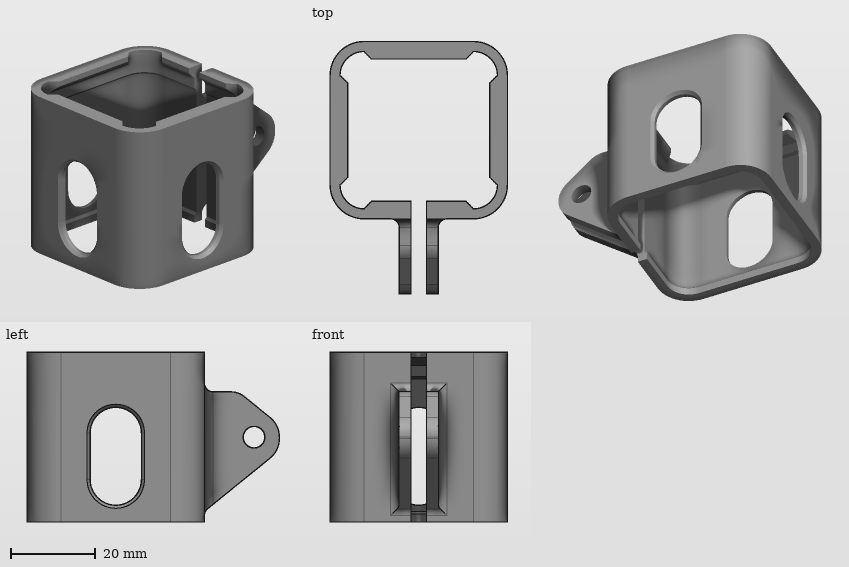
import cadquery as cq
import math

outer_size = 41.8
height = 40.0
corner_radius = 8.0
wall = 2.4

groove_depth = 0.6
groove_bottom_z = 1.9
groove_top_z = 34.3

lip_overhang = 1.8
lip_land = 1.3

window_width = 12.0
window_height = 23.0
window_center_z = 15.5
window_chamfer = 0.75

slit_width = 3.6
ear_thickness = 2.8
ear_reach = 17.65
ear_top_z = 30.7
ear_slope = math.radians(39.0)
ear_tip_radius = 6.0
ear_tip_flat = 0.3
ear_shoulder_radius = 5.0
ear_root_fillet = 2.0
pin_z = 20.0
pin_hole_left = 5.0
pin_hole_right = 5.15

half_size = outer_size / 2
half_slit = slit_width / 2
ear_outer_x = half_slit + ear_thickness


def rounded_prism(inset, bottom_z, top_z):
    """Vertical prism whose sides lie `inset` inside the sleeve's outer faces."""
    side = outer_size - 2 * inset
    return (
        cq.Workplane("XY")
        .workplane(offset=bottom_z)
        .rect(side, side)
        .extrude(top_z - bottom_z)
        .edges("|Z")
        .fillet(corner_radius - inset)
    )


def make_sleeve():
    bore = rounded_prism(wall, 0, height)
    groove = (
        rounded_prism(wall - groove_depth, groove_bottom_z, groove_top_z)
        .faces("<Z or >Z")
        .chamfer(groove_depth)
    )
    return rounded_prism(0, 0, height).cut(bore).cut(groove)


def make_back_lip():
    """Lip on the back wall: 45 degree underside and 45 degree mitred ends."""
    root_y = half_size - wall
    face_y = root_y - lip_overhang
    root_half = half_size - corner_radius
    face_half = root_half - lip_overhang
    sunk_y = root_y + wall / 2
    lip_face_bottom_z = height - lip_land
    lip_root_bottom_z = lip_face_bottom_z - lip_overhang
    plan = (
        cq.Workplane("XY")
        .polyline([
            (-root_half, sunk_y),
            (-root_half, root_y),
            (-face_half, face_y),
            (face_half, face_y),
            (root_half, root_y),
            (root_half, sunk_y),
        ])
        .close()
        .extrude(height)
    )
    section = (
        cq.Workplane("YZ")
        .polyline([
            (sunk_y, height),
            (face_y, height),
            (face_y, lip_face_bottom_z),
            (root_y, lip_root_bottom_z),
            (sunk_y, lip_root_bottom_z),
        ])
        .close()
        .extrude(root_half, both=True)
    )
    return plan.intersect(section)


def make_back_window():
    """Cutter for the back window, flared by a chamfer at the outer face."""
    opening = (
        cq.Workplane("XZ", origin=(0, half_size, window_center_z))
        .slot2D(window_height, window_width, 90)
        .extrude(half_size / 2)
    )
    flare = (
        cq.Workplane("XZ", origin=(0, half_size, window_center_z))
        .slot2D(window_height + 2 * window_chamfer, window_width + 2 * window_chamfer, 90)
        .extrude(window_chamfer, taper=45)
    )
    return opening.union(flare)


def make_ear_plate():
    """Solid plate spanning both ears, with its root sunk into the front wall."""
    sin_slope = math.sin(ear_slope)
    cos_slope = math.cos(ear_slope)
    tan_slope = math.tan(ear_slope)
    wall_y = -half_size
    tip_y = wall_y - ear_reach
    tip_center_y = tip_y + ear_tip_radius
    upper_center_z = pin_z
    lower_center_z = pin_z - ear_tip_flat

    def on_arc(center_y, center_z, radius, angle):
        """Point on an arc, with the angle measured from -Y toward +Z."""
        return (center_y - radius * math.cos(angle), center_z + radius * math.sin(angle))

    slope_normal = math.pi / 2 - ear_slope
    upper_end = on_arc(tip_center_y, upper_center_z, ear_tip_radius, slope_normal)
    upper_mid = on_arc(tip_center_y, upper_center_z, ear_tip_radius, slope_normal / 2)
    lower_mid = on_arc(tip_center_y, lower_center_z, ear_tip_radius, -slope_normal / 2)
    lower_end = on_arc(tip_center_y, lower_center_z, ear_tip_radius, -slope_normal)

    corner_y = upper_end[0] + (ear_top_z - upper_end[1]) / tan_slope
    shoulder_y = corner_y + ear_shoulder_radius * math.tan(ear_slope / 2)
    shoulder_z = ear_top_z - ear_shoulder_radius
    shoulder_mid = on_arc(shoulder_y, shoulder_z, ear_shoulder_radius, math.pi / 2 - ear_slope / 2)
    shoulder_end = (
        shoulder_y - ear_shoulder_radius * sin_slope,
        shoulder_z + ear_shoulder_radius * cos_slope,
    )

    root_z = lower_end[1] - (wall_y - lower_end[0]) * tan_slope
    sunk_y = wall_y + wall / 2
    return (
        cq.Workplane("YZ")
        .moveTo(sunk_y, ear_top_z)
        .lineTo(shoulder_y, ear_top_z)
        .threePointArc(shoulder_mid, shoulder_end)
        .lineTo(*upper_end)
        .threePointArc(upper_mid, (tip_y, upper_center_z))
        .lineTo(tip_y, lower_center_z)
        .threePointArc(lower_mid, lower_end)
        .lineTo(wall_y, root_z)
        .lineTo(sunk_y, root_z)
        .close()
        .extrude(ear_outer_x, both=True)
    )


def fillet_ear_root(body):
    """Fillet the whole outline where the ear plate meets the front wall."""
    margin = 0.1
    root_box = cq.selectors.BoxSelector(
        (-ear_outer_x - margin, -half_size - margin, margin),
        (ear_outer_x + margin, -half_size + margin, height - margin),
        boundingbox=True,
    )
    return body.edges(root_box).fillet(ear_root_fillet)


def make_slit():
    """Cutter running from the middle of the sleeve out past the ear tips."""
    return (
        cq.Workplane("XY")
        .box(slit_width, half_size + ear_reach, height, centered=(True, False, False))
        .translate((0, -half_size - ear_reach, 0))
    )


def make_pin_hole(diameter, direction):
    """Cutter for the pin hole through the ear on one side of the slit."""
    pin_y = -half_size - ear_reach + ear_tip_radius
    return (
        cq.Workplane("YZ", origin=(0, pin_y, pin_z))
        .circle(diameter / 2)
        .extrude(direction * 2 * ear_outer_x)
    )


result = fillet_ear_root(make_sleeve().union(make_ear_plate()))

for quarter_turn in range(4):
    result = result.union(make_back_lip().rotate((0, 0, 0), (0, 0, 1), 90 * quarter_turn))

for window_angle in (-90, 0, 90):
    result = result.cut(make_back_window().rotate((0, 0, 0), (0, 0, 1), window_angle))

result = result.cut(make_slit())
result = result.cut(make_pin_hole(pin_hole_left, -1))
result = result.cut(make_pin_hole(pin_hole_right, 1))